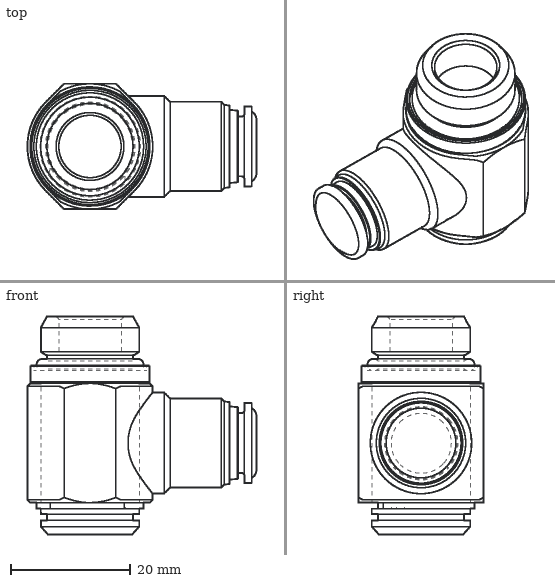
import cadquery as cq
import math


OVERALL_LENGTH = 38.4
WIDTH_ACROSS_FLATS = 21.0
HALF_WIDTH = WIDTH_ACROSS_FLATS / 2
HOUSING_HEIGHT = 19.95
HALF_HEIGHT = HOUSING_HEIGHT / 2
SIDE_CHAMFER = 0.45

SHOULDER_RADIUS = 8.5
BARREL_RADIUS = 7.5
SHOULDER_END = 12.4
BARREL_END = 22.0
BARREL_CHAMFER = 0.45
RING_STEP_END = 23.42
RING_STEP_RADIUS = 6.87
INNER_STEP_RADIUS = 6.15
INNER_STEP_END = 24.8
STEP_TAPER = 0.1
RIM_CHAMFER = 0.1
SLEEVE_RADIUS = 5.03
SLEEVE_FILLET = 0.45
FLANGE_START = 25.85
FLANGE_END = 27.1
FLANGE_RADIUS = 6.72
FLANGE_ROUND = 0.23
NOSE_BASE_RADIUS = 5.85
NOSE_BULGE_X = 27.65
NOSE_BULGE_RADIUS = 5.3
NOSE_TIP_RADIUS = 4.35
NOSE_END = OVERALL_LENGTH - HALF_WIDTH

STEM_RADIUS = 8.25
NECK_RADIUS = 7.2
STEM_TOP = 21.2
LEAD_IN_BOTTOM = 19.3
LEAD_IN_RADIUS = 7.2
THREAD_BOTTOM = 15.25
UNDERCUT_TOP = 14.7
UNDERCUT_RADIUS = 7.4
COLLAR_TOP = 13.05
COLLAR_BOTTOM = 10.05
COLLAR_RADIUS = 10.0
COLLAR_CHAMFER = 0.23
SEAL_RECESS_RADIUS = 9.4
SEAL_RECESS_DEPTH = 0.85
SEAL_SECTION_RADIUS = 1.0
SEAL_OUTER_RADIUS = 9.0
SEAL_CENTRE_Z = 13.1
CLIP_BOTTOM = -11.0
UPPER_LAND_BOTTOM = -11.9
LOWER_LAND_TOP = -12.95
LOWER_LAND_BOTTOM = -13.98
STEM_BOTTOM = -15.32
TIP_RADIUS = 7.05
SOCKET_RADIUS = 5.22
SOCKET_DEPTH = 5.8
SOCKET_CHAMFER = 0.45

CLIP_RADIUS = 9.0
CLIP_GAP_WIDTH = 12.67
CLIP_END_FILLET = 0.42
CLIP_TURN = -6.0


def housing_shell():
    """Octagonal block whose +X and -X sides are round, chamfered at the top and bottom."""
    tangent = HALF_WIDTH * math.sqrt(0.5)
    tip = HALF_WIDTH * math.sqrt(2)
    block = (
        cq.Workplane("XY", origin=(0, 0, -HALF_HEIGHT))
        .moveTo(0, tip)
        .lineTo(tangent, tangent)
        .threePointArc((HALF_WIDTH, 0), (tangent, -tangent))
        .lineTo(0, -tip)
        .lineTo(-tangent, -tangent)
        .threePointArc((-HALF_WIDTH, 0), (-tangent, tangent))
        .close()
        .extrude(HOUSING_HEIGHT)
        .faces("<Z or >Z")
        .chamfer(SIDE_CHAMFER)
    )
    flats = cq.Workplane("XY").box(2 * tip, WIDTH_ACROSS_FLATS, HOUSING_HEIGHT)
    corner_radius = HALF_WIDTH / math.cos(math.pi / 8)
    corner_cone = (
        cq.Workplane("XY", origin=(0, 0, -HALF_HEIGHT))
        .circle(corner_radius)
        .extrude(HOUSING_HEIGHT)
        .faces("<Z or >Z")
        .chamfer(corner_radius - HALF_WIDTH)
    )
    return block.intersect(flats).intersect(corner_cone)


def branch():
    """Solid of revolution about X: shoulder, barrel, end steps and release sleeve."""
    shoulder_slope = SHOULDER_RADIUS - BARREL_RADIUS
    inner_rim_radius = INNER_STEP_RADIUS - STEP_TAPER
    diagonal = math.sqrt(0.5)
    return (
        cq.Workplane("XY")
        .moveTo(0, 0)
        .lineTo(0, SHOULDER_RADIUS)
        .lineTo(SHOULDER_END, SHOULDER_RADIUS)
        .lineTo(SHOULDER_END + shoulder_slope, BARREL_RADIUS)
        .lineTo(BARREL_END, BARREL_RADIUS)
        .lineTo(BARREL_END + BARREL_CHAMFER, RING_STEP_RADIUS + STEP_TAPER)
        .lineTo(RING_STEP_END - RIM_CHAMFER, RING_STEP_RADIUS)
        .lineTo(RING_STEP_END, RING_STEP_RADIUS - RIM_CHAMFER)
        .lineTo(RING_STEP_END, INNER_STEP_RADIUS)
        .lineTo(INNER_STEP_END - RIM_CHAMFER, inner_rim_radius)
        .lineTo(INNER_STEP_END, inner_rim_radius - RIM_CHAMFER)
        .lineTo(INNER_STEP_END, SLEEVE_RADIUS)
        .lineTo(FLANGE_START - SLEEVE_FILLET, SLEEVE_RADIUS)
        .threePointArc(
            (
                FLANGE_START - SLEEVE_FILLET * (1 - diagonal),
                SLEEVE_RADIUS + SLEEVE_FILLET * (1 - diagonal),
            ),
            (FLANGE_START, SLEEVE_RADIUS + SLEEVE_FILLET),
        )
        .lineTo(FLANGE_START, FLANGE_RADIUS)
        .lineTo(FLANGE_END - FLANGE_ROUND, FLANGE_RADIUS)
        .threePointArc(
            (
                FLANGE_END - FLANGE_ROUND * (1 - diagonal),
                FLANGE_RADIUS - FLANGE_ROUND * (1 - diagonal),
            ),
            (FLANGE_END, FLANGE_RADIUS - FLANGE_ROUND),
        )
        .lineTo(FLANGE_END, NOSE_BASE_RADIUS)
        .threePointArc((NOSE_BULGE_X, NOSE_BULGE_RADIUS), (NOSE_END, NOSE_TIP_RADIUS))
        .lineTo(NOSE_END, 0)
        .close()
        .revolve(360, (0, 0, 0), (1, 0, 0))
    )


def make_housing():
    """Block and branch in one piece, bored through along Z for the stem."""
    stem_bore = (
        cq.Workplane("XY", origin=(0, 0, -HALF_HEIGHT))
        .circle(STEM_RADIUS)
        .extrude(HOUSING_HEIGHT)
    )
    return housing_shell().union(branch()).cut(stem_bore)


def stem_core():
    """Solid of revolution about Z: threaded head, collar, shank and grooved bottom end."""
    recess_floor = COLLAR_TOP - SEAL_RECESS_DEPTH
    socket_mouth_radius = SOCKET_RADIUS + SOCKET_CHAMFER
    socket_floor = STEM_TOP - SOCKET_DEPTH
    profile = [
        (0, STEM_BOTTOM),
        (TIP_RADIUS, STEM_BOTTOM),
        (STEM_RADIUS, LOWER_LAND_BOTTOM),
        (STEM_RADIUS, LOWER_LAND_TOP),
        (NECK_RADIUS, LOWER_LAND_TOP),
        (NECK_RADIUS, UPPER_LAND_BOTTOM),
        (STEM_RADIUS, UPPER_LAND_BOTTOM),
        (STEM_RADIUS, CLIP_BOTTOM),
        (NECK_RADIUS, CLIP_BOTTOM),
        (NECK_RADIUS, -HALF_HEIGHT),
        (STEM_RADIUS, -HALF_HEIGHT),
        (STEM_RADIUS, COLLAR_BOTTOM),
        (COLLAR_RADIUS - COLLAR_CHAMFER, COLLAR_BOTTOM),
        (COLLAR_RADIUS, COLLAR_BOTTOM + COLLAR_CHAMFER),
        (COLLAR_RADIUS, COLLAR_TOP - COLLAR_CHAMFER),
        (COLLAR_RADIUS - COLLAR_CHAMFER, COLLAR_TOP),
        (SEAL_RECESS_RADIUS, COLLAR_TOP),
        (SEAL_RECESS_RADIUS, recess_floor),
        (NECK_RADIUS, recess_floor),
        (NECK_RADIUS, UNDERCUT_TOP),
        (UNDERCUT_RADIUS, UNDERCUT_TOP),
        (STEM_RADIUS, THREAD_BOTTOM),
        (STEM_RADIUS, LEAD_IN_BOTTOM),
        (LEAD_IN_RADIUS, STEM_TOP),
        (socket_mouth_radius, STEM_TOP),
        (SOCKET_RADIUS, STEM_TOP - SOCKET_CHAMFER),
        (SOCKET_RADIUS, socket_floor),
        (0, socket_floor),
    ]
    return cq.Workplane("XZ").polyline(profile).close().revolve(360, (0, 0, 0), (0, 1, 0))


def seal_ring():
    """Round-section ring seated in the recess on top of the collar."""
    centre_radius = SEAL_OUTER_RADIUS - SEAL_SECTION_RADIUS
    return (
        cq.Workplane("XZ")
        .moveTo(centre_radius, SEAL_CENTRE_Z)
        .circle(SEAL_SECTION_RADIUS)
        .revolve(360, (0, 0, 0), (0, 1, 0))
    )


def retaining_clip():
    """Open ring that fills the groove just below the housing, its gap towards -Y."""
    clip_height = -HALF_HEIGHT - CLIP_BOTTOM
    ring = (
        cq.Workplane("XY", origin=(0, 0, CLIP_BOTTOM))
        .circle(CLIP_RADIUS)
        .circle(NECK_RADIUS)
        .extrude(clip_height)
    )
    gap = (
        cq.Workplane("XY", origin=(0, 0, CLIP_BOTTOM))
        .center(0, -CLIP_RADIUS / 2)
        .rect(CLIP_GAP_WIDTH, CLIP_RADIUS)
        .extrude(clip_height)
    )
    clip = ring.cut(gap)
    clip = clip.edges("|Z").edges("<Y").fillet(CLIP_END_FILLET)
    return clip.rotate((0, 0, 0), (0, 0, 1), CLIP_TURN)


def make_stem():
    """Stem in one piece with its seal ring and retaining clip."""
    return stem_core().union(seal_ring()).union(retaining_clip())


housing = make_housing()
stem = make_stem()

result = cq.Compound.makeCompound([housing.solids().val(), stem.solids().val()])